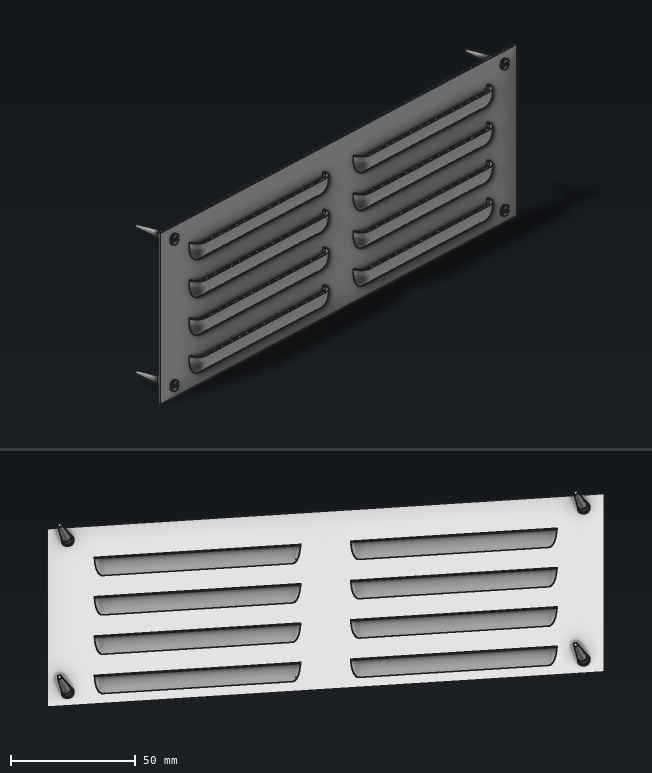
import cadquery as cq
import math

plate_thickness = 1.4
plate_length = 226.8
plate_height = 76.2

louvre_rows = 4
row_pitch = 16.8
top_rim_z = 27.0
hood_depth = 4.8
hood_length = 85.7
column_offset = 52.2
rim_band = 2.3
belly_radius = 7.5

cavity_slope = 24.4
rim_wall = 1.4
end_wall = 1.0
cavity_corner_radius = 3.5
bar_depth = 18.1
bar_height = 36.3
slot_drop = 2.5

screw_y = 105.0
screw_z = 32.5
shank_radius = 2.0
shank_length = 3.6
taper_length = 14.3
taper_start_radius = 1.93
tip_radius = 0.8
collar_radius = 2.5
collar_length = 1.0
head_radius = 2.3
head_thickness = 1.0
head_slot_width = 1.4
head_slot_depth = 0.7

front_x = plate_thickness
louvre_places = [
    (side * column_offset, top_rim_z - row * row_pitch)
    for side in (-1, 1)
    for row in range(louvre_rows)
]
screw_places = [(y, z) for y in (-screw_y, screw_y) for z in (-screw_z, screw_z)]


def hood_profile():
    """Section of a hood: X is the distance from the plate front, Y the height from the rim."""
    end_angle = math.acos(1 - hood_depth / belly_radius)

    def belly_point(angle):
        inset = belly_radius * (1 - math.cos(angle))
        return (hood_depth - inset, -rim_band - belly_radius * math.sin(angle))

    return (
        cq.Workplane("XZ")
        .lineTo(hood_depth, 0)
        .lineTo(hood_depth, -rim_band)
        .threePointArc(belly_point(end_angle / 2), belly_point(end_angle))
        .close()
    )


def hood_blank():
    """Solid hood, rim at z = 0 and back on x = 0: a straight middle with a revolved corner at each end."""
    straight = hood_length - 2 * hood_depth
    middle = hood_profile().extrude(straight / 2, both=True)
    corner = hood_profile().revolve(180, (0, 0), (0, 1)).rotate((0, 0, 0), (0, 0, 1), -90)
    blank = middle
    for side in (-1, 1):
        blank = blank.union(corner.translate((0, side * straight / 2, 0)))
    return blank


def hood_cavity():
    """Sloping round-cornered bar that hollows a hood and opens the slot in the plate."""
    bar = (
        cq.Workplane("XY")
        .box(bar_depth, hood_length - 2 * end_wall, bar_height, centered=(False, True, True))
        .translate((-bar_depth, 0, 0))
        .edges("|Z and >X")
        .fillet(cavity_corner_radius)
        .rotate((0, 0, 0), (0, 1, 0), cavity_slope)
        .translate((hood_depth - rim_wall, 0, 0))
    )
    in_hood = cq.Workplane("XY").box(
        hood_depth, hood_length, bar_height, centered=(False, True, False)
    ).translate((0, 0, -bar_height))
    in_plate = cq.Workplane("XY").box(
        plate_thickness, hood_length, bar_height, centered=(False, True, False)
    ).translate((-plate_thickness, 0, -slot_drop - bar_height))
    return bar.intersect(in_hood.union(in_plate))


def make_plate():
    plate = cq.Workplane("XY").box(
        plate_thickness, plate_length, plate_height, centered=(False, True, True)
    )
    blank = hood_blank()
    cavity = hood_cavity()
    for y, z in louvre_places:
        plate = plate.union(blank.translate((front_x, y, z)))
        plate = plate.cut(cavity.translate((front_x, y, z)))
    holes = cq.Workplane("YZ").pushPoints(screw_places).circle(shank_radius).extrude(plate_thickness)
    return plate.cut(holes)


def make_screw(y, z):
    """Screw turned about its own axis: pointed taper, shank, conical collar and slotted flat head."""
    taper_end = -shank_length
    tip = taper_end - taper_length
    head_end = front_x + head_thickness
    turned = (
        cq.Workplane("XY")
        .moveTo(tip, 0)
        .lineTo(tip, tip_radius)
        .lineTo(taper_end, taper_start_radius)
        .lineTo(taper_end, shank_radius)
        .lineTo(-collar_length, shank_radius)
        .lineTo(0, collar_radius)
        .lineTo(0, shank_radius)
        .lineTo(front_x, shank_radius)
        .lineTo(front_x, head_radius)
        .lineTo(head_end, head_radius)
        .lineTo(head_end, 0)
        .close()
        .revolve(360, (0, 0), (1, 0))
    )
    slot = cq.Workplane("XY").box(
        head_slot_depth, 2 * head_radius, head_slot_width, centered=(False, True, True)
    ).translate((head_end - head_slot_depth, 0, 0))
    return turned.cut(slot).translate((0, y, z))


plate = make_plate()
screws = [make_screw(y, z).val() for y, z in screw_places]

result = cq.Compound.makeCompound([plate.val(), *screws])